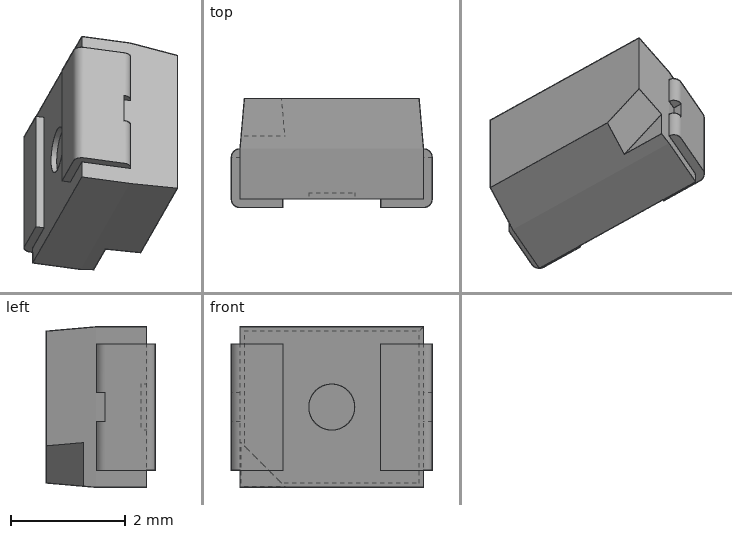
import cadquery as cq
import math

overall_width = 3.5
overall_height = 2.8

lead_thickness = 0.15
lead_height = 2.2
foot_length = 0.9
notch_height = 0.5
notch_depth = lead_thickness

housing_width = overall_width - 2 * lead_thickness
half_depth = 0.875
housing_depth = 2 * half_depth
draft_angle = 5.0
draft_inset = half_depth * math.tan(math.radians(draft_angle))

corner_leg = 0.8
corner_depth = 0.65
mark_diameter = 0.8
mark_depth = 0.1


def xz_plane(y):
    """Sketch plane at height y with local X = X, local Y = Z; extrusion runs toward -Y."""
    return cq.Workplane("XZ", origin=(0, y, 0))


def make_housing():
    straight_half = xz_plane(0).rect(housing_width, overall_height).extrude(-half_depth)
    drafted_half = (
        xz_plane(housing_depth)
        .rect(housing_width - 2 * draft_inset, overall_height - 2 * draft_inset)
        .workplane(offset=half_depth)
        .rect(housing_width, overall_height)
        .loft(ruled=True)
    )
    body = straight_half.union(drafted_half)
    return body.cut(make_corner_cut()).cut(make_mould_mark())


def make_corner_cut():
    """Triangular prism removing the -X, -Z corner of the rear half."""
    left = -housing_width / 2
    bottom = -overall_height / 2
    return (
        xz_plane(housing_depth)
        .moveTo(left, bottom)
        .lineTo(left + corner_leg, bottom)
        .lineTo(left, bottom + corner_leg)
        .close()
        .extrude(corner_depth)
    )


def make_mould_mark():
    return xz_plane(0).circle(mark_diameter / 2).extrude(-mark_depth)


def make_lead(side):
    """L-shaped lead on the -X (side = -1) or +X (side = 1) end of the housing."""
    outer = side * overall_width / 2
    inner = side * housing_width / 2
    foot_end = side * (overall_width / 2 - foot_length)
    radius = lead_thickness
    arc_reach = radius * (1 - math.sqrt(0.5))
    arc_x = outer - side * arc_reach
    foot_face = -lead_thickness
    strip = (
        cq.Workplane("XY", origin=(0, 0, -lead_height / 2))
        .moveTo(inner, 0)
        .lineTo(foot_end, 0)
        .lineTo(foot_end, foot_face)
        .lineTo(outer - side * radius, foot_face)
        .threePointArc((arc_x, foot_face + arc_reach), (outer, foot_face + radius))
        .lineTo(outer, half_depth - radius)
        .threePointArc((arc_x, half_depth - arc_reach), (inner, half_depth))
        .close()
        .extrude(lead_height)
    )
    notch = (
        cq.Workplane("XY")
        .box(lead_thickness, notch_depth, notch_height)
        .translate(((inner + outer) / 2, half_depth - notch_depth / 2, 0))
    )
    return strip.cut(notch)


housing = make_housing()
leads = [make_lead(side) for side in (-1, 1)]

result = cq.Compound.makeCompound([housing.val(), *[lead.val() for lead in leads]])